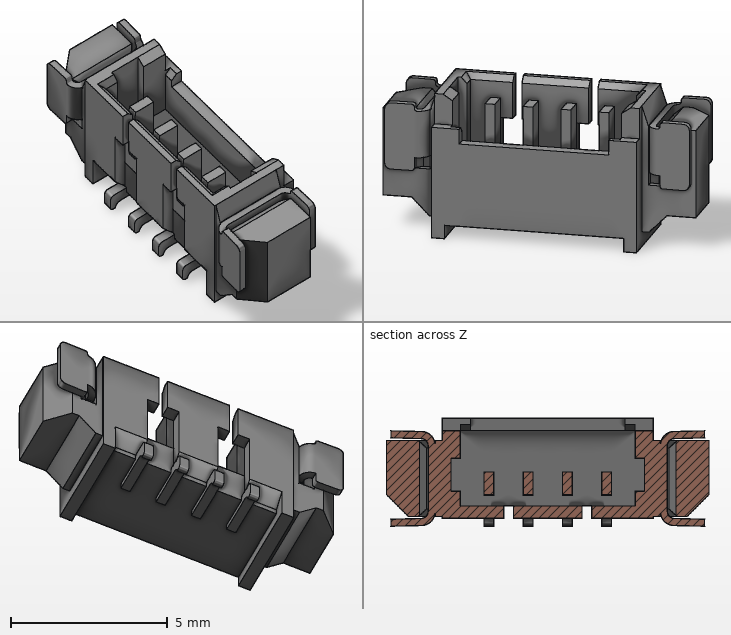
import cadquery as cq


PIN_COUNT = 4
PIN_PITCH = 1.25
PIN_WIDTH = 0.32
PIN_FRONT = 0.74
PIN_DEPTH = 0.75
PIN_TOP = 4.07
PIN_TIP_SETBACK = 0.03
PIN_TIP_HEIGHT = 0.2
FOOT_REACH = 0.25
FOOT_TOP = 0.66
FOOT_UNDERSIDE = 0.22
FOOT_THICKNESS = 0.2
FOOT_TOP_RADIUS = 0.16
FOOT_BOTTOM_RADIUS = 0.12

HOUSING_WIDTH = 6.74
HOUSING_HEIGHT = 4.7
WALL = 0.4
SIDE_WALL_DEPTH = 2.8
HOUSING_DEPTH = SIDE_WALL_DEPTH + WALL
BASE_BOTTOM = 0.45
CAVITY_FLOOR = 1.81
CAVITY_WIDTH = 5.57
RAIL_WIDTH = 0.42

REAR_POST_TOP = 3.69
REAR_WALL_TOP = 3.2
REAR_POST_INNER = 2.46

POCKET_WIDTH = 6.17
POCKET_FRONT = 0.87
POCKET_REAR = 1.92
LEAD_IN_DEPTH = 0.2
LEAD_IN_FRONT = 0.19
LEAD_IN_REAR = (POCKET_WIDTH - CAVITY_WIDTH) / 2

SLOT_WIDTH = 0.3
WINDOW_WIDTH = 1.12
WINDOW_TOP = 3.3
RELIEF_TOP = 1.15
RELIEF_STEP = 0.66

EAR_FRONT = 0.06
EAR_REAR = 2.49
EAR_OUTER = 5.145
EAR_TOP = 4.0
EAR_BOTTOM = 0.5
EAR_STEP = 1.09
EAR_STEP_X = 4.2
EAR_CORNER_CHAMFER = 0.7
EAR_WEB_X = 3.59
EAR_WEB_TOP = 4.03
EAR_BLOCK_X = 3.87
EAR_BLOCK_CHAMFER_X = 0.26
EAR_BLOCK_CHAMFER_Y = 0.24
EAR_BLOCK_CHAMFER_Z = 0.2

CLIP_THICKNESS = 0.23
CLIP_BEND_RADIUS = 0.45
CLIP_FRONT = -0.22
CLIP_REAR = 2.77
CLIP_SPLAY = 0.03
CLIP_END = 5.01
CLIP_SHOULDER_X = 4.04
CLIP_TOP = 4.28
CLIP_BOTTOM = 2.07
CLIP_WEB_BOTTOM = 2.5
CLIP_WEB_TOP = 4.05
CLIP_END_RADIUS = 0.2
CLIP_CORNER_RADIUS = 0.09
CLIP_NECK_RADIUS = 0.1

HALF_WIDTH = HOUSING_WIDTH / 2
PIN_POSITIONS = [(i - (PIN_COUNT - 1) / 2) * PIN_PITCH for i in range(PIN_COUNT)]
SLOT_POSITIONS = (-PIN_PITCH, PIN_PITCH)


def box(x0, x1, y0, y1, z0, z1):
    """Box between two opposite corners."""
    return cq.Workplane("XY").box(x1 - x0, y1 - y0, z1 - z0, centered=False).translate((x0, y0, z0))


def centred_box(x, width, y0, y1, z0, z1):
    """Box centred on x."""
    return box(x - width / 2, x + width / 2, y0, y1, z0, z1)


def prism_along_x(points, x0, x1):
    """YZ polygon extruded from x0 to x1."""
    return cq.Workplane("YZ").polyline(points).close().extrude(x1 - x0).translate((x0, 0, 0))


def prism_along_y(points, y0, y1):
    """XZ polygon extruded from y0 to y1."""
    return cq.Workplane("XZ").polyline(points).close().extrude(y0 - y1).translate((0, y0, 0))


def both_sides(body):
    """The body together with its mirror image in the YZ plane."""
    return body.union(body.mirror("YZ"))


def make_shell():
    """Open box: base, side walls, front wall, lower rear wall and side rails."""
    shell = centred_box(0, HOUSING_WIDTH, 0, SIDE_WALL_DEPTH, 0, HOUSING_HEIGHT)
    shell = shell.union(centred_box(0, HOUSING_WIDTH, SIDE_WALL_DEPTH, HOUSING_DEPTH, 0, REAR_POST_TOP))
    underside_width = HOUSING_WIDTH - 2 * RAIL_WIDTH
    shell = shell.cut(centred_box(0, underside_width, 0, HOUSING_DEPTH, 0, BASE_BOTTOM))
    shell = shell.cut(centred_box(0, CAVITY_WIDTH, WALL, SIDE_WALL_DEPTH, CAVITY_FLOOR, HOUSING_HEIGHT))
    shell = shell.cut(centred_box(0, POCKET_WIDTH, POCKET_FRONT, POCKET_REAR, CAVITY_FLOOR, HOUSING_HEIGHT))
    return shell.cut(
        centred_box(0, 2 * REAR_POST_INNER, SIDE_WALL_DEPTH, HOUSING_DEPTH, REAR_WALL_TOP, HOUSING_HEIGHT)
    )


def make_lead_ins():
    """Material removed by the slopes that guide a plug into the cavity."""
    lead_z = HOUSING_HEIGHT - LEAD_IN_DEPTH
    half_cavity = CAVITY_WIDTH / 2
    front_edge = WALL - LEAD_IN_FRONT
    front_corner_x = half_cavity + LEAD_IN_FRONT

    def side_slope(run):
        return [
            (0, lead_z),
            (half_cavity, lead_z),
            (half_cavity + run, HOUSING_HEIGHT),
            (0, HOUSING_HEIGHT),
        ]

    front_slope = [
        (front_edge, HOUSING_HEIGHT),
        (WALL, lead_z),
        (POCKET_FRONT, lead_z),
        (POCKET_FRONT, HOUSING_HEIGHT),
    ]
    front_wall = prism_along_x(front_slope, 0, front_corner_x)
    side_rib = prism_along_y(side_slope(LEAD_IN_FRONT), front_edge, POCKET_FRONT)
    front = side_rib.intersect(front_wall)
    rear_rib = prism_along_y(side_slope(LEAD_IN_REAR), POCKET_REAR, SIDE_WALL_DEPTH)

    post = [
        (SIDE_WALL_DEPTH, REAR_POST_TOP - LEAD_IN_DEPTH),
        (SIDE_WALL_DEPTH + LEAD_IN_DEPTH, REAR_POST_TOP),
        (SIDE_WALL_DEPTH, REAR_POST_TOP),
    ]
    rear_post = prism_along_x(post, REAR_POST_INNER, half_cavity)
    return both_sides(front.union(rear_rib).union(rear_post))


def make_front_openings():
    """Material removed from the front wall: slots, windows and sloped relief."""
    relief = [(0, BASE_BOTTOM), (WALL, BASE_BOTTOM), (WALL, RELIEF_STEP), (0, RELIEF_TOP)]
    inner_x = HALF_WIDTH - RAIL_WIDTH
    openings = prism_along_x(relief, -inner_x, inner_x)
    for x in SLOT_POSITIONS:
        openings = openings.union(centred_box(x, SLOT_WIDTH, 0, WALL, WINDOW_TOP, HOUSING_HEIGHT))
        openings = openings.union(centred_box(x, WINDOW_WIDTH, 0, WALL, BASE_BOTTOM, WINDOW_TOP))
    return openings


def make_ear():
    """Right-hand ear with the slot and raised seat that receive the clip."""
    knee_x = EAR_STEP_X - (EAR_STEP - EAR_BOTTOM)
    profile = [
        (HALF_WIDTH, EAR_BOTTOM),
        (knee_x, EAR_BOTTOM),
        (EAR_STEP_X, EAR_STEP),
        (EAR_OUTER, EAR_STEP),
        (EAR_OUTER, EAR_TOP),
        (EAR_BLOCK_X + EAR_BLOCK_CHAMFER_X, EAR_TOP),
        (EAR_BLOCK_X, EAR_TOP - EAR_BLOCK_CHAMFER_Z),
        (EAR_BLOCK_X, CLIP_BOTTOM),
        (EAR_WEB_X, CLIP_BOTTOM),
        (EAR_WEB_X, EAR_WEB_TOP),
        (HALF_WIDTH, HOUSING_HEIGHT),
    ]
    ear = prism_along_y(profile, EAR_FRONT, EAR_REAR)

    def corner_cut(points, z0, z1):
        return cq.Workplane("XY").workplane(offset=z0).polyline(points).close().extrude(z1 - z0)

    outer_corner = [
        (EAR_OUTER - EAR_CORNER_CHAMFER, EAR_FRONT),
        (EAR_OUTER, EAR_FRONT),
        (EAR_OUTER, EAR_FRONT + EAR_CORNER_CHAMFER),
    ]
    ear = ear.cut(corner_cut(outer_corner, EAR_STEP, EAR_TOP))
    for y, inward in ((EAR_FRONT, 1), (EAR_REAR, -1)):
        slot_corner = [
            (EAR_BLOCK_X, y),
            (EAR_BLOCK_X + EAR_BLOCK_CHAMFER_X, y),
            (EAR_BLOCK_X, y + inward * EAR_BLOCK_CHAMFER_Y),
        ]
        ear = ear.cut(corner_cut(slot_corner, CLIP_BOTTOM, EAR_TOP))
    seat_front = EAR_FRONT + EAR_BLOCK_CHAMFER_Y
    seat_rear = EAR_REAR - EAR_BLOCK_CHAMFER_Y
    seat = box(EAR_WEB_X, EAR_BLOCK_X, seat_front, seat_rear, CLIP_BOTTOM, CLIP_WEB_BOTTOM)
    return ear.union(seat)


def make_clip():
    """Right-hand U-shaped clip: a web in the ear slot and two slightly splayed arms."""
    outer = [
        (CLIP_END, CLIP_FRONT - CLIP_SPLAY),
        (EAR_WEB_X, CLIP_FRONT),
        (EAR_WEB_X, CLIP_REAR),
        (CLIP_END, CLIP_REAR + CLIP_SPLAY),
    ]
    inner_x = EAR_WEB_X + CLIP_THICKNESS
    inner = [
        (CLIP_END, CLIP_REAR + CLIP_SPLAY - CLIP_THICKNESS),
        (inner_x, CLIP_REAR - CLIP_THICKNESS),
        (inner_x, CLIP_FRONT + CLIP_THICKNESS),
        (CLIP_END, CLIP_FRONT - CLIP_SPLAY + CLIP_THICKNESS),
    ]
    height = CLIP_TOP - CLIP_BOTTOM
    strip = cq.Workplane("XY").workplane(offset=CLIP_BOTTOM).polyline(outer + inner).close().extrude(height)
    margin = CLIP_THICKNESS / 4
    outer_bends = cq.selectors.BoxSelector(
        (EAR_WEB_X - margin, CLIP_FRONT - margin, 0), (EAR_WEB_X + margin, CLIP_REAR + margin, HOUSING_HEIGHT)
    )
    inner_bends = cq.selectors.BoxSelector(
        (inner_x - margin, CLIP_FRONT, 0), (inner_x + margin, CLIP_REAR, HOUSING_HEIGHT)
    )
    strip = strip.edges("|Z").edges(outer_bends).fillet(CLIP_BEND_RADIUS)
    strip = strip.edges("|Z").edges(inner_bends).fillet(CLIP_BEND_RADIUS - CLIP_THICKNESS)

    y0 = CLIP_FRONT - CLIP_THICKNESS
    y1 = CLIP_REAR + CLIP_THICKNESS
    arms = box(CLIP_SHOULDER_X, CLIP_END, y0, y1, CLIP_BOTTOM, CLIP_TOP)
    arms = arms.edges("|Y and >X").fillet(CLIP_END_RADIUS)
    arms = arms.edges("|Y and <X").fillet(CLIP_CORNER_RADIUS)
    web_end = CLIP_SHOULDER_X + CLIP_CORNER_RADIUS
    web = box(EAR_WEB_X, web_end, y0, y1, CLIP_WEB_BOTTOM, CLIP_WEB_TOP)
    neck = (
        cq.Workplane("XZ")
        .moveTo(CLIP_SHOULDER_X, CLIP_WEB_TOP)
        .lineTo(CLIP_SHOULDER_X, CLIP_WEB_TOP + CLIP_NECK_RADIUS)
        .radiusArc((CLIP_SHOULDER_X - CLIP_NECK_RADIUS, CLIP_WEB_TOP), CLIP_NECK_RADIUS)
        .close()
        .extrude(y0 - y1)
        .translate((0, y0, 0))
    )
    return strip.intersect(arms.union(web).union(neck))


def make_pin(x):
    """L-shaped contact: upright blade in the cavity and a foot bent down in front."""
    back = PIN_FRONT + PIN_DEPTH
    toe = FOOT_THICKNESS - FOOT_REACH
    bend = FOOT_UNDERSIDE
    foot = (
        cq.Workplane("YZ")
        .moveTo(-FOOT_REACH, 0)
        .lineTo(toe, 0)
        .radiusArc((toe + bend, FOOT_UNDERSIDE), bend)
        .lineTo(back, FOOT_UNDERSIDE)
        .lineTo(back, FOOT_TOP)
        .lineTo(-FOOT_REACH, FOOT_TOP)
        .close()
        .extrude(PIN_WIDTH)
    )
    foot = foot.edges("|X and <Y and >Z").fillet(FOOT_TOP_RADIUS)
    foot = foot.edges("|X and <Y and <Z").fillet(FOOT_BOTTOM_RADIUS)
    blade = [
        (PIN_FRONT, FOOT_UNDERSIDE),
        (back, FOOT_UNDERSIDE),
        (back, PIN_TOP),
        (PIN_FRONT + PIN_TIP_SETBACK, PIN_TOP),
        (PIN_FRONT, PIN_TOP - PIN_TIP_HEIGHT),
    ]
    left = x - PIN_WIDTH / 2
    return foot.translate((left, 0, 0)).union(prism_along_x(blade, left, left + PIN_WIDTH))


result = make_shell().cut(make_lead_ins()).cut(make_front_openings())
result = result.union(both_sides(make_ear().union(make_clip())))
for pin_x in PIN_POSITIONS:
    result = result.union(make_pin(pin_x))